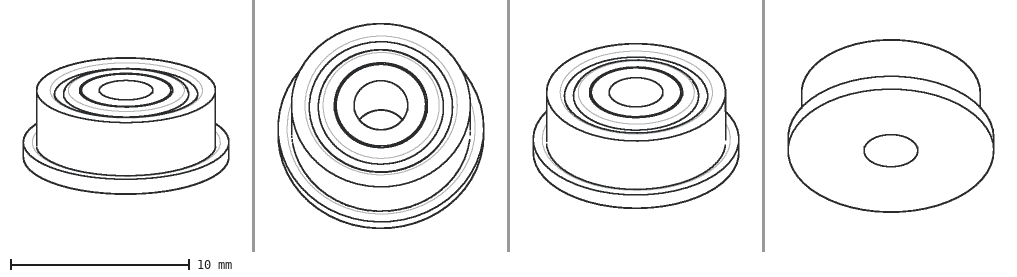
import cadquery as cq
import math

flange_radius = 5.75
flange_height = 0.9
body_radius = 5.0
total_height = 4.0
bore_radius = 1.501

edge_radius = 0.25
channel_outer_radius = 4.25
channel_inner_radius = 3.24

gap_outer_radius = 2.6
gap_inner_radius = 2.501
gap_depth = 1.0

arc_offset = edge_radius * math.sqrt(0.5)


def ring(outer_radius, inner_radius, bottom, height):
    """Flat ring around Z, starting at height `bottom`."""
    return (
        cq.Workplane("XY")
        .workplane(offset=bottom)
        .circle(outer_radius)
        .circle(inner_radius)
        .extrude(height)
    )


def flange_relief():
    """Undercut around the body: a rounded flange edge dropping to the body wall."""
    arc_center = body_radius + edge_radius
    arc_low = flange_height - edge_radius
    return (
        cq.Workplane("XZ")
        .moveTo(body_radius, flange_height)
        .lineTo(body_radius, arc_low)
        .threePointArc(
            (arc_center - arc_offset, arc_low + arc_offset),
            (arc_center, flange_height),
        )
        .close()
        .revolve(360, (0, 0), (0, 1))
    )


def face_channel():
    """Flat-bottomed channel in the top face with a rounded edge on either side."""
    floor = total_height - edge_radius
    return (
        cq.Workplane("XZ")
        .moveTo(channel_inner_radius, total_height)
        .threePointArc(
            (channel_inner_radius + arc_offset, floor + arc_offset),
            (channel_inner_radius + edge_radius, floor),
        )
        .lineTo(channel_outer_radius - edge_radius, floor)
        .threePointArc(
            (channel_outer_radius - arc_offset, floor + arc_offset),
            (channel_outer_radius, total_height),
        )
        .close()
        .revolve(360, (0, 0), (0, 1))
    )


flange = ring(flange_radius, bore_radius, 0, flange_height)
body = ring(body_radius, bore_radius, 0, total_height)
shield_gap = ring(gap_outer_radius, gap_inner_radius, total_height - gap_depth, gap_depth)

result = flange.union(body).cut(flange_relief()).cut(face_channel()).cut(shield_gap)